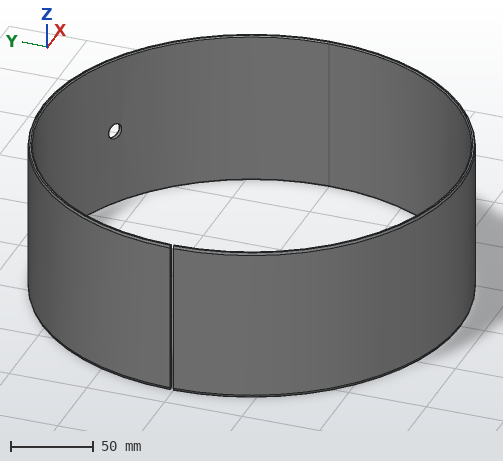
import cadquery as cq

outer_diameter = 270.0
height = 100.0
wall = 2.5
outer_bevel_height = 1.5
outer_bevel_depth = 0.5
inner_chamfer = 0.8
slit_width = 2.2
hole_diameter = 10.0
hole_angle = 59.0

outer_radius = outer_diameter / 2
inner_radius = outer_radius - wall


def make_band():
    """Thin ring centred on the origin, each rim bevelled steeply outside and chamfered inside."""
    top = height / 2
    outer_start = top - outer_bevel_height
    inner_start = top - inner_chamfer
    profile = [
        (inner_radius, -inner_start),
        (inner_radius + inner_chamfer, -top),
        (outer_radius - outer_bevel_depth, -top),
        (outer_radius, -outer_start),
        (outer_radius, outer_start),
        (outer_radius - outer_bevel_depth, top),
        (inner_radius + inner_chamfer, top),
        (inner_radius, inner_start),
    ]
    return cq.Workplane("XZ").polyline(profile).close().revolve(360, (0, 0), (0, 1))


def make_slit():
    """Full-height cutter through the -X wall, with one side on the XZ plane."""
    cutter = cq.Workplane("XY").box(2 * wall, slit_width, height)
    return cutter.translate((-inner_radius, slit_width / 2, 0))


def make_hole():
    """Radial cutter through one wall at mid height."""
    cutter = cq.Workplane("YZ").circle(hole_diameter / 2).extrude(outer_diameter)
    return cutter.rotate((0, 0, 0), (0, 0, 1), hole_angle)


result = make_band().cut(make_slit()).cut(make_hole())